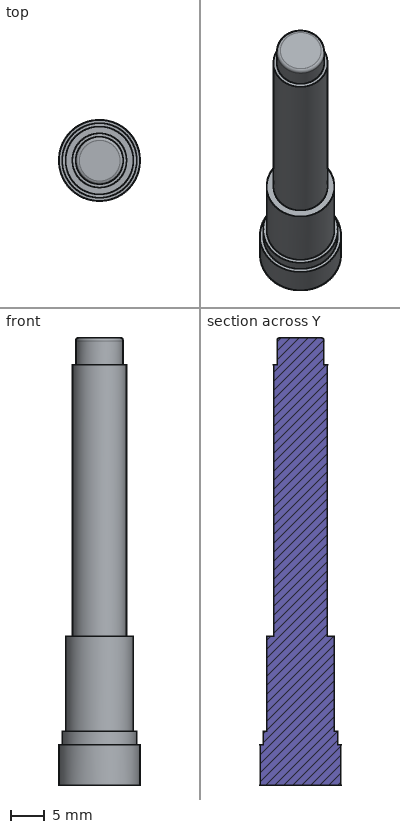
import cadquery as cq

HEAD_DIAMETER = 12.0
HEAD_HEIGHT = 6.0
COLLAR_DIAMETER = 11.0
COLLAR_HEIGHT = 2.0
SLEEVE_DIAMETER = 10.0
SLEEVE_HEIGHT = 14.0
SHAFT_DIAMETER = 8.0
SHAFT_HEIGHT = 40.0
TIP_DIAMETER = 7.0
TIP_HEIGHT = 4.0
TIP_FILLET = 0.5

STEPS = [
    (HEAD_DIAMETER, HEAD_HEIGHT),
    (COLLAR_DIAMETER, COLLAR_HEIGHT),
    (SLEEVE_DIAMETER, SLEEVE_HEIGHT),
    (SHAFT_DIAMETER, SHAFT_HEIGHT),
    (TIP_DIAMETER, TIP_HEIGHT),
]


def stepped_pin(steps):
    """Stack coaxial cylinders, each one standing on the top face of the last."""
    pin = cq.Workplane("XY")
    base_z = 0.0
    for diameter, height in steps:
        step = cq.Workplane("XY").workplane(offset=base_z).circle(diameter / 2).extrude(height)
        pin = pin.union(step)
        base_z += height
    return pin


def round_tip(pin):
    """Round the top rim of the tip."""
    return pin.faces(">Z").edges().fillet(TIP_FILLET)


result = round_tip(stepped_pin(STEPS))